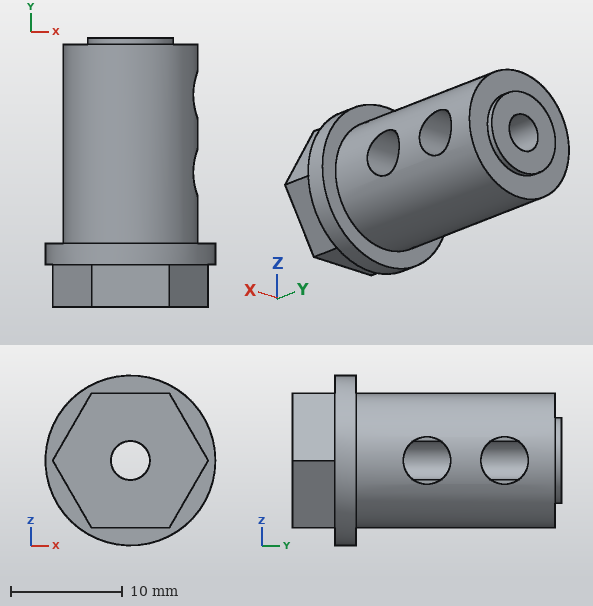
import cadquery as cq
import math

total_length = 24.13
hex_length = 3.81
flange_length = 1.9
boss_length = 0.58
body_length = total_length - hex_length - flange_length - boss_length

hex_across_flats = 12.06
flange_diameter = 15.25
body_diameter = 12.06
boss_diameter = 7.7
bore_diameter = 3.47

cross_hole_diameter = 4.25
first_cross_hole_y = 12.06
cross_hole_spacing = 6.95

flange_start = hex_length
body_start = flange_start + flange_length
boss_start = body_start + body_length


def section_plane(y):
    """Plane facing +Y at the given distance from the hexagon face."""
    return cq.Workplane(cq.Plane(origin=(0, y, 0), xDir=(1, 0, 0), normal=(0, 1, 0)))


def round_section(start, length, diameter):
    return section_plane(start).circle(diameter / 2).extrude(length)


def hex_head():
    across_corners = hex_across_flats / math.cos(math.radians(30))
    return section_plane(0).polygon(6, across_corners).extrude(hex_length)


def cross_hole(y):
    plane = cq.Plane(origin=(0, y, 0), xDir=(0, 1, 0), normal=(1, 0, 0))
    return cq.Workplane(plane).circle(cross_hole_diameter / 2).extrude(body_diameter)


result = (
    hex_head()
    .union(round_section(flange_start, flange_length, flange_diameter))
    .union(round_section(body_start, body_length, body_diameter))
    .union(round_section(boss_start, boss_length, boss_diameter))
)

result = result.cut(round_section(0, total_length, bore_diameter))

for hole_y in (first_cross_hole_y, first_cross_hole_y + cross_hole_spacing):
    result = result.cut(cross_hole(hole_y))